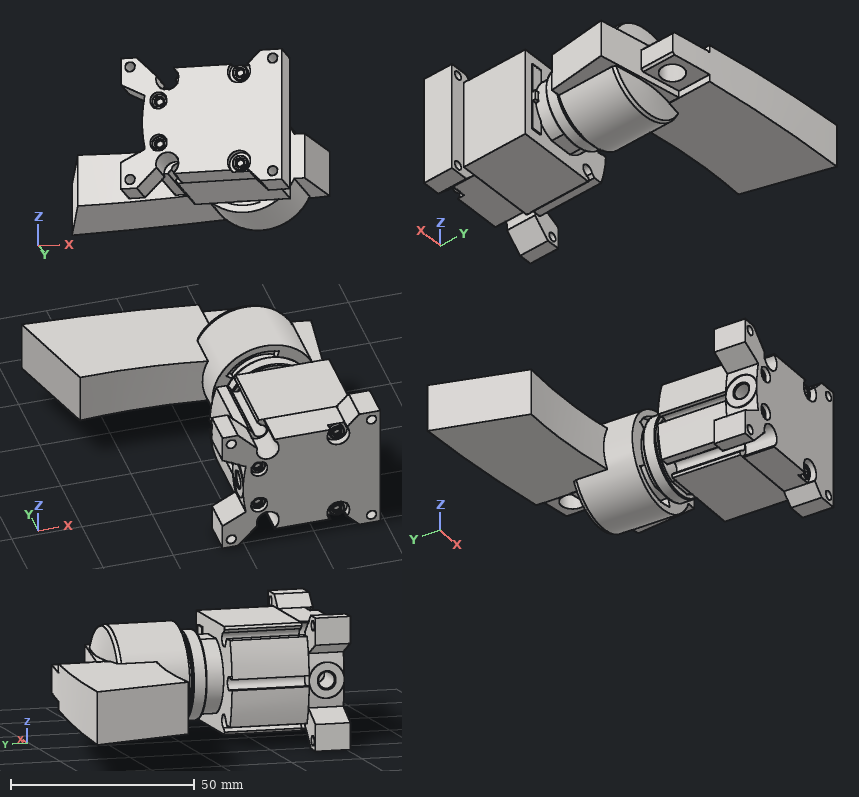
import cadquery as cq
import math


BASE_DEPTH = 10.0
BASE_RIGHT = 20.0
BASE_LEFT = -25.0
BASE_HEIGHT = 37.0
BASE_HALF_HEIGHT = BASE_HEIGHT / 2
BODY_HALF = 15.0
LEFT_APEX = -19.1
LEFT_BULGE_RADIUS = 37.7
EAR_HOLE_DIAMETER = 2.7
EAR_HOLE_INSET = 2.55
RIGHT_EAR_FOOT = 10.5
LEFT_EAR_END = -20.6
LEFT_EAR_LOW = 11.0
LEFT_NECK_HEIGHT = 7.55
CHANNEL_DIAMETER = 6.3
CHANNEL_OFFSET = 12.05
CHANNEL_WALL = -10.2

PORT_BOSS_DIAMETER = 10.0
PORT_DIAMETER = 4.6
PORT_MOUTH_DIAMETER = 5.25
PORT_DEPTH = 9.8

SCREW_RECESS_DEPTH = 2.3
SCREW_HEAD_DIAMETER = 4.2
SCREW_HEAD_HEIGHT = 1.15
SOCKET_DIAMETER = 2.3
SOCKET_DEPTH = 1.0
SOCKET_MOUTH_DIAMETER = 2.7
SCREW_EDGE = 0.2
RIGHT_SCREW = (8.0, 12.8)
RIGHT_RECESS_DIAMETER = 6.3
LEFT_SCREW = (-14.5, 6.0)
LEFT_RECESS_DIAMETER = 4.6

HOUSING_TOP = 32.0
HOUSING_STEP_HEIGHT = 12.05
SLOT_DIAMETER = 3.8
SLOT_MOUTH = 3.0
CORNER_SLOT_OFFSET = 11.3
CORNER_SLOT_ANGLE = 45.0
SIDE_SLOT_DEPTH = 2.55
LIP_RIGHT = -11.65
NECK_DIAMETER = 22.1
NECK_ACROSS_FLATS = 20.75
NECK_TOP = 42.4
JOURNAL_DIAMETER = 20.9
JOURNAL_TOP = 52.5
STOP_LEFT = 8.7
STOP_RIGHT = 12.3
STOP_HALF_WIDTH = 11.4
STOP_THICKNESS = 0.3
TAB_LEFT = 10.8
TAB_HALF_WIDTH = 1.6
TAB_HEIGHT = 1.3

COLLAR_DIAMETER = 25.0
COLLAR_BOTTOM = 37.1
COLLAR_TOP = 41.1
COLLAR_CHAMFER = 0.3

HUB_DIAMETER = 30.1
HUB_BOTTOM = 42.8
HUB_SHOULDER = 61.8
HUB_CHAMFER_TOP = 62.9
HUB_CHAMFER_WIDTH = 0.4
HUB_APEX = 65.85
STOP_POCKET_DIAMETER = 26.1
STOP_POCKET_DEPTH = 2.5
STOP_POCKET_START = 72.0
STOP_POCKET_END = 147.0
ARM_TIP = (-57.6, 82.0)
ARM_TOP_MIDDLE = (-27.7, 80.4)
LUG_TOP_END = (5.1, 76.2)
ARM_LOWER_TIP = (-49.45, 53.6)
ARM_LOWER_MIDDLE = (-30.4, 53.6)
ARM_LOWER_END_Y = 50.8
ARM_END = -8.2
TIP_HALF_THICKNESS = 7.4
ARM_END_HALF_THICKNESS = 6.5
TAIL_HALF_THICKNESS = 6.3
TAIL_TOP_LEFT = 67.2
TAIL_TOP_RIGHT = (19.1, 62.5)
TAIL_BOTTOM_RIGHT = 16.6
LUG_HALF_THICKNESS = 4.0
LUG_CHAMFER = 0.7
LUG_HOLE_DIAMETER = 7.5
LUG_HOLE = (-1.15, 70.85)

SIDES = (1, -1)


def disc(diameter, y_start, y_end, x=0.0, z=0.0):
    """Cylinder along Y."""
    return cq.Workplane(cq.Solid.makeCylinder(
        diameter / 2, y_end - y_start, cq.Vector(x, y_start, z), cq.Vector(0, 1, 0)))


def box(x_range, y_range, z_range):
    """Block between the given limits on each axis."""
    low = cq.Vector(x_range[0], y_range[0], z_range[0])
    return cq.Workplane(cq.Solid.makeBox(
        x_range[1] - x_range[0], y_range[1] - y_range[0], z_range[1] - z_range[0], low))


def extrude_along_y(outline, y_start, y_end):
    """Extrude an outline drawn on the XZ plane from y_start to y_end."""
    return outline.extrude(-(y_end - y_start)).translate((0, y_start, 0))


def bulge_x(z):
    """X of the bulged left side at height z."""
    return LEFT_APEX + LEFT_BULGE_RADIUS - math.sqrt(LEFT_BULGE_RADIUS ** 2 - z ** 2)


def base_outline():
    """Eared plate outline; the ears slope at 45 degrees and the left ear reaches down to the channel."""
    ear_rise = BASE_HALF_HEIGHT - BODY_HALF
    ear_floor = LEFT_EAR_END + BASE_HALF_HEIGHT - CHANNEL_OFFSET
    upper = [
        (BASE_RIGHT, BASE_HALF_HEIGHT),
        (RIGHT_EAR_FOOT + ear_rise, BASE_HALF_HEIGHT),
        (RIGHT_EAR_FOOT, BODY_HALF),
        (CHANNEL_WALL, BODY_HALF),
        (CHANNEL_WALL, CHANNEL_OFFSET),
        (ear_floor, CHANNEL_OFFSET),
        (LEFT_EAR_END, BASE_HALF_HEIGHT),
        (BASE_LEFT, BASE_HALF_HEIGHT),
        (BASE_LEFT, LEFT_EAR_LOW),
        (bulge_x(LEFT_NECK_HEIGHT), LEFT_NECK_HEIGHT),
    ]
    lower = [(x, -z) for x, z in reversed(upper)]
    return (
        cq.Workplane("XZ").polyline(upper)
        .threePointArc((LEFT_APEX, 0), lower[0])
        .polyline(lower[1:], includeCurrent=True).close()
    )


def add_screw(plate, x, z, recess_diameter):
    """Sink a recess holding a low socket head into the mounting face."""
    head_top = SCREW_RECESS_DEPTH - SCREW_HEAD_HEIGHT
    socket = cq.Workplane("XZ", origin=(x, head_top, z)).transformed(rotate=(0, 0, 90))
    socket = socket.polygon(6, SOCKET_DIAMETER).extrude(-SOCKET_DEPTH)
    mouth = disc(SOCKET_MOUTH_DIAMETER, head_top, head_top + SCREW_EDGE, x, z)
    head = disc(SCREW_HEAD_DIAMETER, head_top, SCREW_RECESS_DEPTH, x, z)
    head = head.faces("<Y").chamfer(SCREW_EDGE).cut(socket).cut(mouth)
    return plate.cut(disc(recess_diameter, 0, SCREW_RECESS_DEPTH, x, z)).union(head)


def add_port(plate):
    """Round boss flush with the crown of the left side, with a countersunk port."""
    middle = BASE_DEPTH / 2
    port_plane = cq.Workplane("YZ", origin=(LEFT_APEX, middle, 0))
    countersink = (PORT_MOUTH_DIAMETER - PORT_DIAMETER) / 2
    boss = port_plane.circle(PORT_BOSS_DIAMETER / 2).extrude(PORT_DEPTH)
    hole = port_plane.circle(PORT_DIAMETER / 2).extrude(PORT_DEPTH)
    mouth = cq.Workplane(cq.Solid.makeCone(
        PORT_MOUTH_DIAMETER / 2, PORT_DIAMETER / 2, countersink,
        cq.Vector(LEFT_APEX, middle, 0), cq.Vector(1, 0, 0)))
    return plate.union(boss).cut(hole).cut(mouth)


def make_base():
    plate = extrude_along_y(base_outline(), 0, BASE_DEPTH)
    for side in SIDES:
        plate = plate.cut(disc(CHANNEL_DIAMETER, 0, BASE_DEPTH, -CHANNEL_OFFSET, side * CHANNEL_OFFSET))
        for x in (BASE_LEFT + EAR_HOLE_INSET, BASE_RIGHT - EAR_HOLE_INSET):
            z = side * (BASE_HALF_HEIGHT - EAR_HOLE_INSET)
            plate = plate.cut(disc(EAR_HOLE_DIAMETER, 0, BASE_DEPTH, x, z))
    plate = add_port(plate)
    for side in SIDES:
        plate = add_screw(plate, RIGHT_SCREW[0], side * RIGHT_SCREW[1], RIGHT_RECESS_DIAMETER)
        plate = add_screw(plate, LEFT_SCREW[0], side * LEFT_SCREW[1], LEFT_RECESS_DIAMETER)
    return plate


def slot_cutter(x, z, angle):
    """Round slot along Y; its mouth opens toward -X turned by the angle in degrees."""
    mouth_reach = 2 * SLOT_DIAMETER
    mouth = box((x - mouth_reach, x), (BASE_DEPTH, HOUSING_TOP),
                (z - SLOT_MOUTH / 2, z + SLOT_MOUTH / 2))
    cutter = disc(SLOT_DIAMETER, BASE_DEPTH, HOUSING_TOP, x, z).union(mouth)
    return cutter.rotate((x, 0, z), (x, 1, z), angle)


def housing_outline():
    """Block with a bulged left side and two lowered left corners."""
    lip_x = -HOUSING_STEP_HEIGHT
    lip_z = HOUSING_STEP_HEIGHT + SLOT_MOUTH / math.sqrt(2)
    upper = [
        (BODY_HALF, BODY_HALF),
        (LIP_RIGHT, BODY_HALF),
        (lip_x, lip_z),
        (lip_x, HOUSING_STEP_HEIGHT),
        (bulge_x(HOUSING_STEP_HEIGHT), HOUSING_STEP_HEIGHT),
    ]
    lower = [(x, -z) for x, z in reversed(upper)]
    return (
        cq.Workplane("XZ").polyline(upper)
        .threePointArc((LEFT_APEX, 0), lower[0])
        .polyline(lower[1:], includeCurrent=True).close()
    )


def make_neck():
    """Round neck with two flats, carrying the journal that turns in the handle."""
    flats = box((-NECK_DIAMETER, NECK_DIAMETER), (HOUSING_TOP, NECK_TOP),
                (-NECK_ACROSS_FLATS / 2, NECK_ACROSS_FLATS / 2))
    neck = disc(NECK_DIAMETER, HOUSING_TOP, NECK_TOP).intersect(flats)
    return neck.union(disc(JOURNAL_DIAMETER, NECK_TOP, JOURNAL_TOP))


def make_stop():
    """Thin pad with a raised tab on the top of the housing, beside the neck."""
    pad = box((STOP_LEFT, STOP_RIGHT), (HOUSING_TOP, HOUSING_TOP + STOP_THICKNESS),
              (-STOP_HALF_WIDTH, STOP_HALF_WIDTH))
    tab = box((TAB_LEFT, STOP_RIGHT), (HOUSING_TOP, HOUSING_TOP + TAB_HEIGHT),
              (-TAB_HALF_WIDTH, TAB_HALF_WIDTH))
    return pad.union(tab)


def make_housing():
    block = extrude_along_y(housing_outline(), BASE_DEPTH, HOUSING_TOP)
    block = block.cut(slot_cutter(LEFT_APEX + SIDE_SLOT_DEPTH, 0, 0))
    for side in SIDES:
        z = side * CORNER_SLOT_OFFSET
        block = block.cut(slot_cutter(-CORNER_SLOT_OFFSET, z, side * CORNER_SLOT_ANGLE))
    return block.union(make_neck()).union(make_stop())


def make_collar(neck):
    collar = disc(COLLAR_DIAMETER, COLLAR_BOTTOM, COLLAR_TOP).edges().chamfer(COLLAR_CHAMFER)
    return collar.cut(neck)


def make_hub():
    """Cylinder with a chamfered rim and a low cone on top."""
    radius = HUB_DIAMETER / 2
    profile = cq.Workplane("XY").polyline([
        (0, HUB_BOTTOM),
        (radius, HUB_BOTTOM),
        (radius, HUB_SHOULDER),
        (radius - HUB_CHAMFER_WIDTH, HUB_CHAMFER_TOP),
        (0, HUB_APEX),
    ]).close()
    return profile.revolve(360, (0, 0, 0), (0, 1, 0))


def stop_pocket(side):
    """Sector-shaped pocket around the bore, in the upper (1) or lower (-1) half of the hub bottom."""
    radius = STOP_POCKET_DIAMETER / 2
    middle = (STOP_POCKET_START + STOP_POCKET_END) / 2
    rim = []
    for degrees in (STOP_POCKET_START, middle, STOP_POCKET_END):
        angle = math.radians(degrees)
        rim.append((radius * math.cos(angle), side * radius * math.sin(angle)))
    sector = cq.Workplane("XZ").lineTo(*rim[0]).threePointArc(rim[1], rim[2]).close()
    return extrude_along_y(sector, HUB_BOTTOM, HUB_BOTTOM + STOP_POCKET_DEPTH)


def blade(thickness):
    """Side shape of arm and lug together."""
    return (
        cq.Workplane("XY", origin=(0, 0, -thickness / 2)).moveTo(*ARM_TIP)
        .threePointArc(ARM_TOP_MIDDLE, LUG_TOP_END)
        .lineTo(LUG_TOP_END[0], ARM_LOWER_END_Y).lineTo(ARM_END, ARM_LOWER_END_Y)
        .threePointArc(ARM_LOWER_MIDDLE, ARM_LOWER_TIP).close().extrude(thickness)
    )


def make_arm():
    """Blade that thins evenly from the tip to the step."""
    taper = cq.Workplane("XZ").polyline([
        (ARM_TIP[0], TIP_HALF_THICKNESS),
        (ARM_END, ARM_END_HALF_THICKNESS),
        (ARM_END, -ARM_END_HALF_THICKNESS),
        (ARM_TIP[0], -TIP_HALF_THICKNESS),
    ]).close()
    return blade(2 * TIP_HALF_THICKNESS).intersect(extrude_along_y(taper, HUB_BOTTOM, ARM_TIP[1]))


def make_lug():
    """Thin lug behind the step, with a cross hole."""
    x_end = LUG_TOP_END[0]
    lug = blade(2 * LUG_HALF_THICKNESS).faces(">X").edges("|Y").chamfer(LUG_CHAMFER)
    lug = lug.intersect(box((ARM_END, x_end), (ARM_LOWER_END_Y, ARM_TIP[1]),
                            (-LUG_HALF_THICKNESS, LUG_HALF_THICKNESS)))
    hole = cq.Workplane("XY", origin=(*LUG_HOLE, -LUG_HALF_THICKNESS))
    return lug.cut(hole.circle(LUG_HOLE_DIAMETER / 2).extrude(2 * LUG_HALF_THICKNESS))


def make_tail():
    """Flat plate that carries the handle past the hub on the right."""
    return (
        cq.Workplane("XY", origin=(0, 0, -TAIL_HALF_THICKNESS)).polyline([
            (ARM_END, TAIL_TOP_LEFT),
            TAIL_TOP_RIGHT,
            (TAIL_BOTTOM_RIGHT, HUB_BOTTOM),
            (ARM_END, HUB_BOTTOM),
        ]).close().extrude(2 * TAIL_HALF_THICKNESS)
    )


def make_handle():
    handle = make_hub().union(make_arm()).union(make_lug()).union(make_tail())
    handle = handle.cut(disc(JOURNAL_DIAMETER, HUB_BOTTOM, JOURNAL_TOP))
    for side in SIDES:
        handle = handle.cut(stop_pocket(side))
    return handle


base = make_base()
housing = make_housing()
collar = make_collar(make_neck())
handle = make_handle()

result = cq.Compound.makeCompound([base.val(), housing.val(), collar.val(), handle.val()])